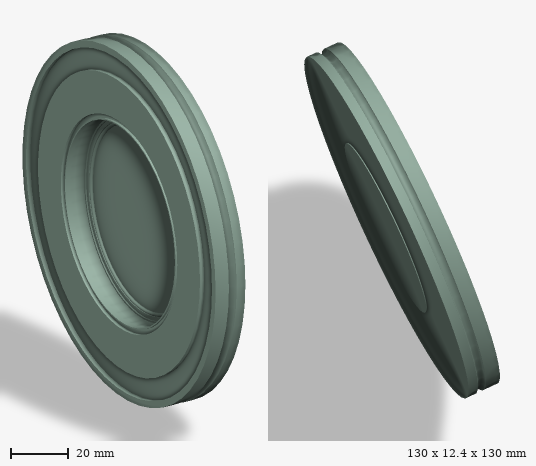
import cadquery as cq


flange_dia = 130.0
flange_depth = 12.0
face_channel_outer_dia = 125.0
face_channel_inner_dia = 109.0
face_channel_depth = 1.7

recess_dia = 78.4
recess_depth = 1.3
lip_dia = 74.8
lip_front = 0.4
pocket_dia = 73.8
pocket_depth = 8.0
ledge_dia = 72.5
ledge_depth = 8.6
seat_dia = 69.5

rim_groove_center = 6.9
rim_groove_width = 3.1
rim_groove_depth = 1.3

window_front = 9.5
bead_width = 1.3
back_boss_dia = 64.5
back_boss_height = 0.4


def disc(diameter, front, back):
    """Solid disc about the Y axis between two Y positions."""
    return cq.Workplane("XZ", origin=(0, back, 0)).circle(diameter / 2).extrude(back - front)


def ring(outer_dia, inner_dia, front, back):
    """Flat ring about the Y axis between two Y positions."""
    return disc(outer_dia, front, back).cut(disc(inner_dia, front, back))


def spin(profile):
    """Revolve a closed XY profile fully about the Y axis."""
    return profile.close().revolve(360, (0, 0, 0), (0, 1, 0))


def rim_groove():
    """Cutter for the arc-shaped groove around the flange rim."""
    rim = flange_dia / 2
    groove_front = rim_groove_center - rim_groove_width / 2
    groove_back = rim_groove_center + rim_groove_width / 2
    profile = (
        cq.Workplane("XY")
        .moveTo(rim, groove_front)
        .threePointArc((rim - rim_groove_depth, rim_groove_center), (rim, groove_back))
    )
    return spin(profile)


def window_bead():
    """Ridge with a half-round crest, level with the ledge in front of the window."""
    outer = seat_dia / 2
    inner = outer - bead_width
    crest_start = ledge_depth + bead_width / 2
    profile = (
        cq.Workplane("XY")
        .moveTo(outer, window_front)
        .lineTo(outer, crest_start)
        .threePointArc((outer - bead_width / 2, ledge_depth), (inner, crest_start))
        .lineTo(inner, window_front)
    )
    return spin(profile)


def make_flange():
    body = ring(flange_dia, seat_dia, 0, flange_depth)
    body = body.cut(ring(face_channel_outer_dia, face_channel_inner_dia, 0, face_channel_depth))
    bore_steps = [
        (recess_dia, lip_front),
        (pocket_dia, pocket_depth),
        (ledge_dia, ledge_depth),
    ]
    for diameter, depth in bore_steps:
        body = body.cut(disc(diameter, 0, depth))
    body = body.cut(ring(recess_dia, lip_dia, lip_front, recess_depth))
    return body.cut(rim_groove())


def make_window():
    plate = disc(seat_dia, window_front, flange_depth)
    back_boss = disc(back_boss_dia, flange_depth, flange_depth + back_boss_height)
    return plate.union(back_boss).union(window_bead())


flange = make_flange()
window = make_window()
result = cq.Compound.makeCompound([flange.val(), window.val()])